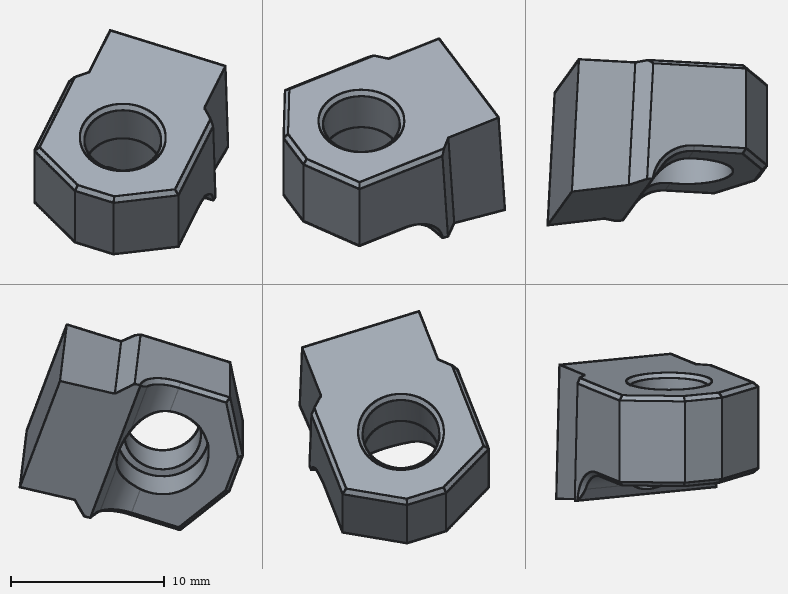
import cadquery as cq
import math

width = 10.08
length = 13.5
height = 9.0
front_y = -5.05
front_flat_width = 2.7
front_slope_angle = 30.0
back_tilt = 3.0
neck_width = 8.07
shoulder_y = 4.24
chamfer = 0.3

underside_z = -6.0
underside_end_y = 0.51
arc_radius = 2.5
arc_sweep = 60.0
heel_y = 3.25
bottom_slope = 10.0

hole_radius = 2.5
clearance_radius = 3.0
clearance_top_z = -3.24
overshoot = 1.35

half_width = width / 2
half_neck = neck_width / 2
back_y = front_y + length
back_top_y = back_y - height * math.tan(math.radians(back_tilt))
half_flat = front_flat_width / 2
side_front_y = front_y + (half_width - half_flat) * math.tan(math.radians(front_slope_angle))
heel_z = -height + (back_y - heel_y) * math.tan(math.radians(bottom_slope))
arc_center_z = underside_z - arc_radius


def arc_point(angle):
    """Point (Y, Z) on the relief arc, at an angle in degrees from its top."""
    turn = math.radians(angle)
    return (
        underside_end_y + arc_radius * math.sin(turn),
        arc_center_z + arc_radius * math.cos(turn),
    )


def make_plan(depth):
    """Vertical prism with the faceted front, chamfered around its top edge."""
    outline = [
        (-half_flat, front_y),
        (half_flat, front_y),
        (half_width, side_front_y),
        (half_width, back_y),
        (-half_width, back_y),
        (-half_width, side_front_y),
    ]
    prism = cq.Workplane("XY").workplane(offset=-depth).polyline(outline).close().extrude(depth)
    return prism.faces(">Z").edges("not >Y").chamfer(chamfer)


def make_block():
    """Shallow prism with a chamfered flat underside, joined to the full-height tail."""
    shallow = make_plan(-underside_z).faces("<Z").edges("not >Y").chamfer(chamfer)
    tail_length = back_y - underside_end_y
    tail_space = cq.Workplane("XY").box(width, tail_length, height, centered=(True, False, False))
    tail = make_plan(height).intersect(tail_space.translate((0, underside_end_y, -height)))
    return shallow.union(tail)


def make_side_profile():
    """Side outline: tilted back, sloping tail bottom, concave relief and flat underside."""
    return (
        cq.Workplane("YZ")
        .moveTo(front_y, 0)
        .lineTo(back_top_y, 0)
        .lineTo(back_y, -height)
        .lineTo(heel_y, heel_z)
        .lineTo(*arc_point(arc_sweep))
        .threePointArc(arc_point(arc_sweep / 2), arc_point(0))
        .lineTo(front_y, underside_z)
        .close()
        .extrude(half_width, both=True)
    )


def make_shoulder_cut(side):
    """Sheared prism beside the neck, leaning parallel to the tilted back."""
    reach = half_width + overshoot - half_neck
    outline = [
        (side * half_neck, shoulder_y),
        (side * (half_neck + reach), shoulder_y - reach),
        (side * (half_neck + reach), back_y + overshoot),
        (side * half_neck, back_y + overshoot),
    ]
    shift = back_y - back_top_y
    return (
        cq.Workplane("XY")
        .polyline(outline)
        .close()
        .workplane(offset=-height)
        .polyline([(x, y + shift) for x, y in outline])
        .close()
        .loft(ruled=True, combine=True)
    )


def make_arc_chamfer(side):
    """Cone that chamfers the side edge of the concave relief."""
    base = cq.Vector(side * (half_width - chamfer), underside_end_y, arc_center_z)
    return cq.Workplane(
        cq.Solid.makeCone(arc_radius, arc_radius + chamfer, chamfer, base, cq.Vector(side, 0, 0))
    )


def make_hole():
    """Through hole with a chamfered mouth and a wider clearance bore from below."""
    bore = cq.Workplane("XY").workplane(offset=-height).circle(hole_radius).extrude(height)
    mouth = cq.Workplane(
        cq.Solid.makeCone(hole_radius + chamfer, hole_radius, chamfer, cq.Vector(), cq.Vector(0, 0, -1))
    )
    clearance = (
        cq.Workplane("XY")
        .workplane(offset=-height)
        .circle(clearance_radius)
        .extrude(height + clearance_top_z)
    )
    return bore.union(mouth).union(clearance)


body = make_block().intersect(make_side_profile())

for side in (-1, 1):
    body = body.cut(make_arc_chamfer(side))
    body = body.cut(make_shoulder_cut(side))

result = body.cut(make_hole())